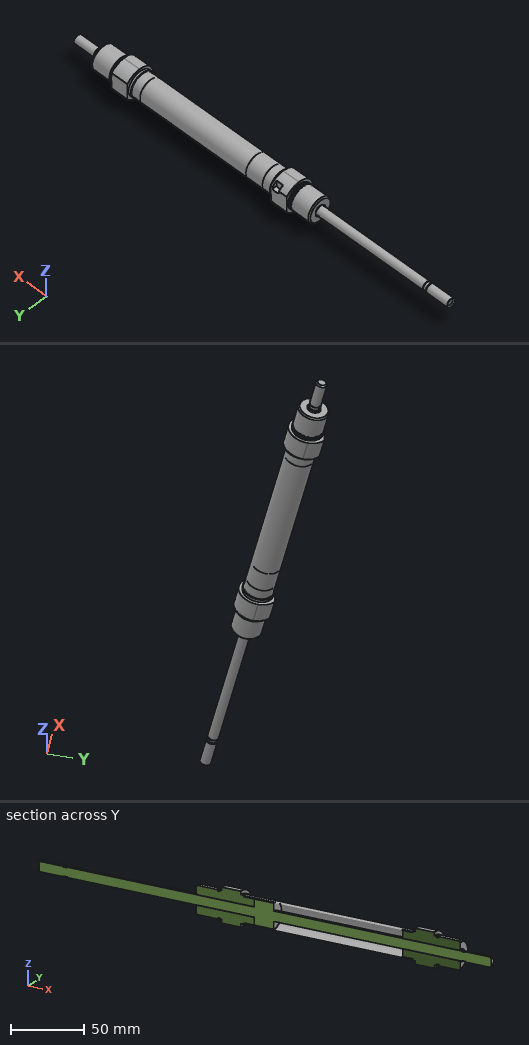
import cadquery as cq


ROD_LENGTH = 355.0
ROD_DIAMETER = 8.0
ROD_START = -ROD_LENGTH / 2
ROD_END = ROD_LENGTH / 2
TIP_CHAMFER = 1.0
RECESS_DEPTH = 1.0
RECESS_FLOOR_DIAMETER = 5.5
THREAD_LENGTH = 20.0
GROOVE_DIAMETER = 7.0
GROOVE_WIDTH = 3.2
GROOVE_TAPER = 0.7
PISTON_LENGTH = 15.5

FRONT_CAP_X = -53.5
REAR_CAP_X = 153.5
NOSE_DIAMETER = 22.0
NOSE_LENGTH = 17.5
NOSE_CHAMFER = 1.0
BORE_CHAMFER = 0.7
NECK_DIAMETER = 20.2
NECK_LENGTH = 1.5
SHOULDER_DIAMETER = NOSE_DIAMETER
SHOULDER_LENGTH = 1.5
HEAD_DIAMETER = 27.0
HEAD_LENGTH = 15.3
COLLAR_DIAMETER = NOSE_DIAMETER
COLLAR_LENGTH = 2.0
SPIGOT_LENGTH = 7.8

PORT_FACE_Y = 12.0
PORT_FACE_HEIGHT = 15.5

SLOT_WIDTH = 6.0
SLOT_DEPTH = 4.0
SLOT_FLOOR_Z = 5.0
SLOT_FLOOR_RISE = 1.0
SLOT_TO_HEAD_END = 1.8

BARREL_DIAMETER = 21.3
BARREL_BORE = 20.0

NECK_X = NOSE_LENGTH
SHOULDER_X = NECK_X + NECK_LENGTH
HEAD_X = SHOULDER_X + SHOULDER_LENGTH
COLLAR_X = HEAD_X + HEAD_LENGTH
SPIGOT_X = COLLAR_X + COLLAR_LENGTH
CAP_LENGTH = SPIGOT_X + SPIGOT_LENGTH


def cylinder(start, length, diameter):
    """Solid cylinder along +X from the given X position."""
    return cq.Workplane("YZ", origin=(start, 0, 0)).circle(diameter / 2).extrude(length)


def make_rod():
    """Rod and its piston: undercut behind each thread, recessed front tip, chamfered rear tip."""
    rod_radius = ROD_DIAMETER / 2
    groove_radius = GROOVE_DIAMETER / 2
    front_groove = ROD_START + THREAD_LENGTH
    rear_groove = ROD_END - THREAD_LENGTH
    profile = [
        (ROD_START + RECESS_DEPTH, 0),
        (ROD_START + RECESS_DEPTH, RECESS_FLOOR_DIAMETER / 2),
        (ROD_START, rod_radius),
        (front_groove, rod_radius),
        (front_groove + GROOVE_TAPER, groove_radius),
        (front_groove + GROOVE_WIDTH, groove_radius),
        (front_groove + GROOVE_WIDTH, rod_radius),
        (rear_groove - GROOVE_WIDTH, rod_radius),
        (rear_groove - GROOVE_WIDTH, groove_radius),
        (rear_groove - GROOVE_TAPER, groove_radius),
        (rear_groove, rod_radius),
        (ROD_END - TIP_CHAMFER, rod_radius),
        (ROD_END, rod_radius - TIP_CHAMFER),
        (ROD_END, 0),
    ]
    shaft = cq.Workplane("XY").polyline(profile).close().revolve(360, (0, 0, 0), (1, 0, 0))
    piston = cylinder(FRONT_CAP_X + CAP_LENGTH, PISTON_LENGTH, BARREL_BORE)
    return shaft.union(piston)


def make_head():
    """Head block: half round towards -Y, fuller and ending in a flat port face towards +Y."""
    radius = HEAD_DIAMETER / 2
    face_z = PORT_FACE_HEIGHT / 2
    drop = radius - face_z
    arc_radius = (PORT_FACE_Y**2 + drop**2) / (2 * drop)
    arc_centre_z = radius - arc_radius
    mid_y = PORT_FACE_Y / 2
    mid_z = arc_centre_z + (arc_radius**2 - mid_y**2) ** 0.5
    return (
        cq.Workplane("YZ", origin=(HEAD_X, 0, 0))
        .moveTo(0, -radius)
        .threePointArc((mid_y, -mid_z), (PORT_FACE_Y, -face_z))
        .lineTo(PORT_FACE_Y, face_z)
        .threePointArc((mid_y, mid_z), (0, radius))
        .threePointArc((-radius, 0), (0, -radius))
        .close()
        .extrude(HEAD_LENGTH)
    )


def make_cap():
    """End cap with its outer end at X = 0 and its spigot towards +X."""
    cap = cylinder(0, NOSE_LENGTH, NOSE_DIAMETER).faces("<X").chamfer(NOSE_CHAMFER)
    cap = cap.union(cylinder(NECK_X, NECK_LENGTH, NECK_DIAMETER))
    cap = cap.union(cylinder(SHOULDER_X, SHOULDER_LENGTH, SHOULDER_DIAMETER))
    cap = cap.union(make_head())
    cap = cap.union(cylinder(COLLAR_X, COLLAR_LENGTH, COLLAR_DIAMETER))
    cap = cap.union(cylinder(SPIGOT_X, SPIGOT_LENGTH, BARREL_BORE))
    cap = cap.cut(cylinder(0, CAP_LENGTH, ROD_DIAMETER))
    return cap.faces("<X").edges(cq.selectors.RadiusNthSelector(0)).chamfer(BORE_CHAMFER)


def make_slot():
    """Cutter along Y with a rounded floor, open upwards."""
    end_x = COLLAR_X - SLOT_TO_HEAD_END
    start_x = end_x - SLOT_WIDTH
    middle_x = (start_x + end_x) / 2
    corner_z = SLOT_FLOOR_Z + SLOT_FLOOR_RISE
    top_z = HEAD_DIAMETER / 2
    return (
        cq.Workplane("XZ", origin=(0, PORT_FACE_Y, 0))
        .moveTo(start_x, top_z)
        .lineTo(start_x, corner_z)
        .threePointArc((middle_x, SLOT_FLOOR_Z), (end_x, corner_z))
        .lineTo(end_x, top_z)
        .close()
        .extrude(SLOT_DEPTH)
    )


def make_barrel():
    start = FRONT_CAP_X + SPIGOT_X
    length = REAR_CAP_X - SPIGOT_X - start
    return cylinder(start, length, BARREL_DIAMETER).cut(cylinder(start, length, BARREL_BORE))


rod = make_rod()
front_cap = make_cap().cut(make_slot()).translate((FRONT_CAP_X, 0, 0))
rear_cap = make_cap().mirror("YZ").translate((REAR_CAP_X, 0, 0))
barrel = make_barrel()

result = cq.Compound.makeCompound([rod.val(), front_cap.val(), rear_cap.val(), barrel.val()])